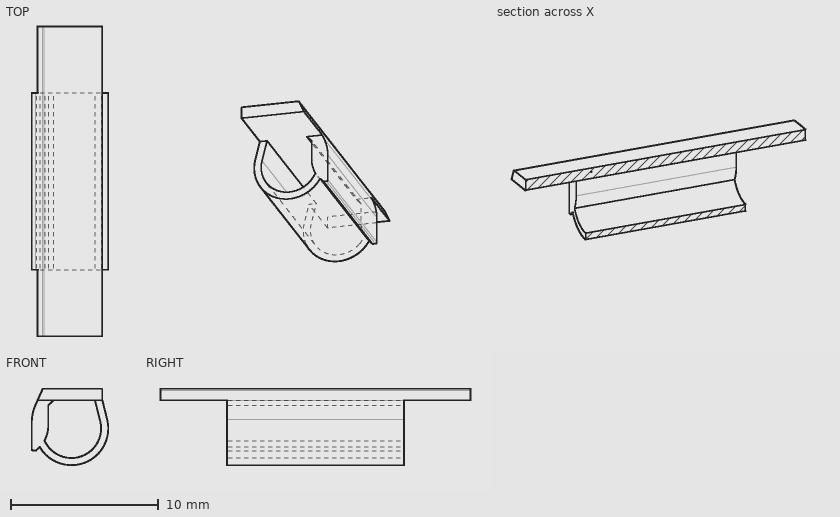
import cadquery as cq
import math


PLATE_LENGTH = 21.0
CLIP_LENGTH = 12.0

PLATE_TOP = 2.7
PLATE_THICKNESS = 0.8
PLATE_BOTTOM = PLATE_TOP - PLATE_THICKNESS
PLATE_RIGHT = 2.1
EDGE_RADIUS = 0.1

OUTER_RADIUS = 2.5
WALL_THICKNESS = 0.5
INNER_RADIUS = OUTER_RADIUS - WALL_THICKNESS
CORNER_DISTANCE = math.hypot(PLATE_RIGHT, PLATE_BOTTOM)
WALL_LEAN = math.atan2(PLATE_BOTTOM, PLATE_RIGHT) - math.acos(OUTER_RADIUS / CORNER_DISTANCE)

JAW_LEFT = -2.7
JAW_BEND_START = 0.4
JAW_BEND_RADIUS = 2.9
JAW_LEAN = math.radians(24.2)
JAW_BOTTOM = -1.5
TIP_RADIUS = 0.1
NOTCH_X = -2.16
JAW_INNER = -1.56
JAW_INNER_BEND_START = 0.2
JAW_INNER_END_X = -1.82
CORNER_CHAMFER = 0.34


def point_on_circle(radius, angle):
    return (radius * math.cos(angle), radius * math.sin(angle))


def lower_circle_point(radius, x):
    return (x, -math.sqrt(radius**2 - x**2))


WALL_INNER_X = PLATE_RIGHT - WALL_THICKNESS / math.cos(WALL_LEAN)

SLOPE_START_X = JAW_LEFT + JAW_BEND_RADIUS * (1 - math.cos(JAW_LEAN))
SLOPE_START_Z = JAW_BEND_START + JAW_BEND_RADIUS * math.sin(JAW_LEAN)


def slope_x(z):
    """X at height z of the sloped left side shared by the jaw and the plate."""
    return SLOPE_START_X + (z - SLOPE_START_Z) * math.tan(JAW_LEAN)


def extrude_centred(outline, length):
    return outline.close().extrude(length / 2, both=True)


def make_plate():
    outline = (
        cq.Workplane("XZ")
        .moveTo(slope_x(PLATE_BOTTOM), PLATE_BOTTOM)
        .lineTo(PLATE_RIGHT, PLATE_BOTTOM)
        .lineTo(PLATE_RIGHT, PLATE_TOP)
        .lineTo(slope_x(PLATE_TOP), PLATE_TOP)
    )
    plate = extrude_centred(outline, PLATE_LENGTH)
    return plate.faces(">Z").edges("|Y").fillet(EDGE_RADIUS)


def make_clip_body():
    notch = lower_circle_point(OUTER_RADIUS, NOTCH_X)
    tip_right = NOTCH_X - (notch[1] - JAW_BOTTOM)
    outline = (
        cq.Workplane("XZ")
        .moveTo(PLATE_RIGHT, PLATE_BOTTOM)
        .lineTo(*point_on_circle(OUTER_RADIUS, WALL_LEAN))
        .threePointArc((0, -OUTER_RADIUS), notch)
        .lineTo(tip_right, JAW_BOTTOM)
        .lineTo(JAW_LEFT + TIP_RADIUS, JAW_BOTTOM)
        .tangentArcPoint((JAW_LEFT, JAW_BOTTOM + TIP_RADIUS), relative=False)
        .lineTo(JAW_LEFT, JAW_BEND_START)
        .tangentArcPoint((SLOPE_START_X, SLOPE_START_Z), relative=False)
        .lineTo(slope_x(PLATE_BOTTOM), PLATE_BOTTOM)
    )
    return extrude_centred(outline, CLIP_LENGTH)


def make_channel():
    jaw_inner_end = lower_circle_point(INNER_RADIUS, JAW_INNER_END_X)
    outline = (
        cq.Workplane("XZ")
        .moveTo(WALL_INNER_X, PLATE_BOTTOM)
        .lineTo(JAW_INNER + CORNER_CHAMFER, PLATE_BOTTOM)
        .lineTo(JAW_INNER, PLATE_BOTTOM - CORNER_CHAMFER)
        .lineTo(JAW_INNER, JAW_INNER_BEND_START)
        .tangentArcPoint(jaw_inner_end, relative=False)
        .threePointArc((0, -INNER_RADIUS), point_on_circle(INNER_RADIUS, WALL_LEAN))
    )
    return extrude_centred(outline, CLIP_LENGTH)


clip = make_clip_body().cut(make_channel())
result = make_plate().union(clip).clean()